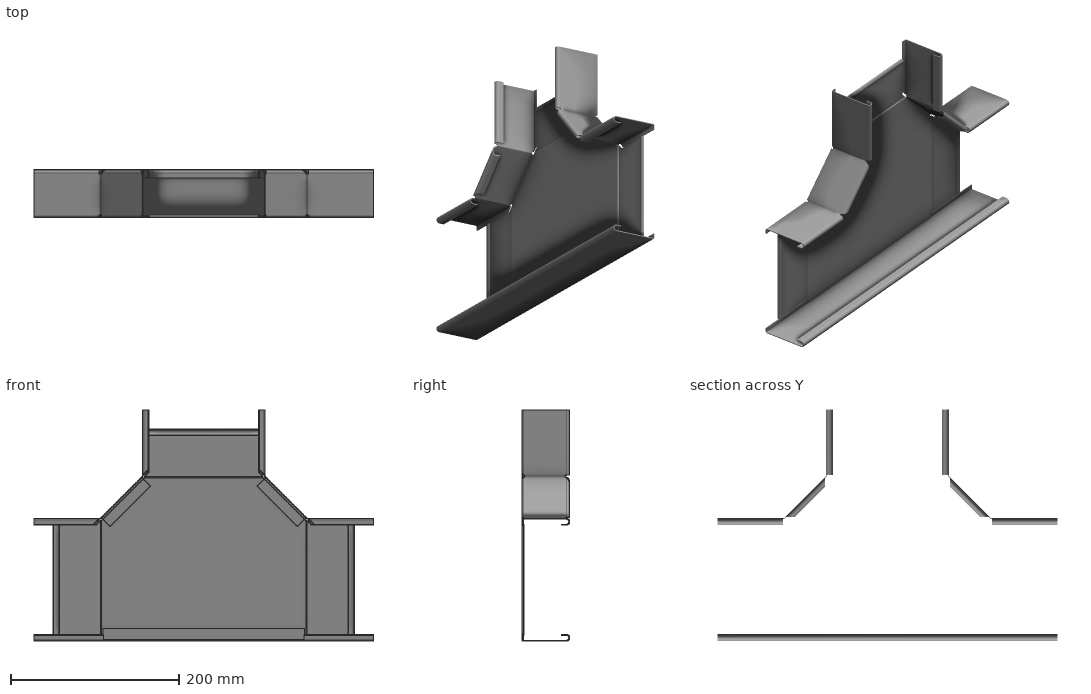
import cadquery as cq
import math


sheet = 1.0
tray_width = 146.0
rail_height = 57.0
corner_run = 50.0
total_length = 404.0
total_height = 274.99

bend_radius = 1.8
hook_radius = 4.0
hook_lip = 6.0
flange_width = 7.0
tab_width = 15.0
bottom_tab_length = 240.0

relief_radius = 1.5

gap = 0.5
joggle_run = 1.7
tongue_setback = 23.6
tongue_end_chamfer = 1.5
root_flare = 5.0
bead_width = 6.4
bead_radius = 3.8

half_length = total_length / 2
half_branch = tray_width / 2
root_x = half_branch + corner_run
root_z = tray_width + corner_run
side_arm = half_length - root_x
branch_arm = total_height - root_z
tongue_width = tray_width - 2 * (flange_width + gap)
corner_length = corner_run * math.sqrt(2)
hook_start = rail_height - hook_radius
half_bend = math.radians(45 / 2)
unit = math.sqrt(0.5)


def rail_plane(x, z, inward):
    """Section plane: local x points into the tray, local y is +Y, the normal runs along the rail."""
    along = cq.Vector(*inward).cross(cq.Vector(0, 1, 0))
    return cq.Plane(origin=(x, 0, z), xDir=inward, normal=along)


side_plane = rail_plane(-half_length, tray_width, (0, 0, -1))
corner_plane = rail_plane(-root_x, tray_width, (unit, 0, -unit))
branch_plane = rail_plane(-half_branch, root_z, (1, 0, 0))
bottom_plane = rail_plane(half_length, 0, (0, 0, 1))


def floor_flange(plane, start, length, width):
    """Bend and floor flange below the wall."""
    inner_radius = bend_radius - sheet
    outer_mid = bend_radius * (1 - unit)
    inner_mid = bend_radius - inner_radius * unit
    return (
        cq.Workplane(plane).workplane(offset=start)
        .moveTo(0, bend_radius)
        .threePointArc((outer_mid, outer_mid), (bend_radius, 0))
        .lineTo(width, 0)
        .lineTo(width, sheet)
        .lineTo(bend_radius, sheet)
        .threePointArc((inner_mid, inner_mid), (sheet, bend_radius))
        .close()
        .extrude(length)
    )


def rolled_edge(plane, start, length):
    """Half-round roll and inner lip on the open edge of the wall."""
    hook_width = 2 * hook_radius
    lip_end = hook_start - hook_lip
    return (
        cq.Workplane(plane).workplane(offset=start)
        .moveTo(0, hook_start)
        .threePointArc((hook_radius, rail_height), (hook_width, hook_start))
        .lineTo(hook_width, lip_end)
        .lineTo(hook_width - sheet, lip_end)
        .lineTo(hook_width - sheet, hook_start)
        .threePointArc((hook_radius, rail_height - sheet), (sheet, hook_start))
        .close()
        .extrude(length)
    )


def prism(points, y_start, y_end):
    """Solid with an X-Z outline between two Y levels."""
    return cq.Workplane("XZ", origin=(0, y_start, 0)).polyline(points).close().extrude(y_start - y_end)


def make_bottom_rail():
    wall = cq.Workplane(bottom_plane).moveTo(0, bend_radius).lineTo(0, hook_start)
    wall = wall.lineTo(sheet, hook_start).lineTo(sheet, bend_radius).close().extrude(total_length)
    tab_start = (total_length - bottom_tab_length) / 2
    return (
        wall
        .union(floor_flange(bottom_plane, 0, total_length, flange_width))
        .union(floor_flange(bottom_plane, tab_start, bottom_tab_length, tab_width))
        .union(rolled_edge(bottom_plane, 0, total_length))
    )


def corner_wall():
    """Wall bent 45 degrees twice: side arm, corner, branch arm."""
    shift = sheet * math.tan(half_bend)
    inner_side = (-root_x + shift, tray_width - sheet)
    inner_branch = (-half_branch + sheet, root_z - shift)
    outer_side = (-root_x, tray_width)
    outer_branch = (-half_branch, root_z)
    wall = prism(
        [
            (-half_length, tray_width), outer_side, outer_branch, (-half_branch, total_height),
            (-half_branch + sheet, total_height), inner_branch, inner_side,
            (-half_length, tray_width - sheet),
        ],
        bend_radius, hook_start,
    )
    bends = [
        (outer_side, bend_radius - sheet), (inner_side, bend_radius),
        (outer_branch, bend_radius - sheet), (inner_branch, bend_radius),
    ]
    for (x, z), radius in bends:
        edge = cq.selectors.NearestToPointSelector((x, (bend_radius + hook_start) / 2, z))
        wall = wall.edges("|Y").edges(edge).fillet(radius)
    return wall


def relief_hole(x, y, z, axis):
    plane = cq.Plane(origin=(x, y, z), xDir=(0, 1, 0), normal=axis)
    depth = 2 * sheet
    return cq.Workplane(plane).circle(relief_radius).extrude(depth, both=True)


def mitre(plane, bend, away, width):
    """Cutter that clears a 45 degree mitre beside a wall bend; away (1 or -1) is the side it clears."""
    clear = bend + away * relief_radius
    mitre_plane = cq.Plane(origin=plane.origin.toTuple(), xDir=plane.xDir.toTuple(), normal=(0, 1, 0))
    return (
        cq.Workplane(mitre_plane)
        .moveTo(0, -bend)
        .lineTo(0, -clear)
        .lineTo(width, -(clear + away * width))
        .lineTo(width, -bend)
        .close()
        .extrude(rail_height)
    )


def corner_rolled_edge():
    """Rolled edge of the corner wall, mitred at both ends."""
    edge = rolled_edge(corner_plane, 0, corner_length)
    edge = edge.cut(mitre(corner_plane, 0, 1, 2 * hook_radius))
    return edge.cut(mitre(corner_plane, corner_length, -1, 2 * hook_radius))


def make_corner_rail():
    tab_length = corner_length - 2 * relief_radius
    side_flange = floor_flange(side_plane, 0, side_arm, flange_width)
    branch_flange = floor_flange(branch_plane, 0, branch_arm, flange_width)
    rail = (
        corner_wall()
        .union(side_flange.cut(mitre(side_plane, side_arm, -1, flange_width)))
        .union(branch_flange.cut(mitre(branch_plane, 0, 1, flange_width)))
        .union(floor_flange(corner_plane, relief_radius, tab_length, tab_width))
        .union(rolled_edge(side_plane, 0, side_arm - relief_radius))
        .union(rolled_edge(branch_plane, relief_radius, branch_arm - relief_radius))
        .union(corner_rolled_edge())
    )
    side_axis = (math.sin(half_bend), 0, -math.cos(half_bend))
    branch_axis = (math.cos(half_bend), 0, -math.sin(half_bend))
    for y in (bend_radius, hook_start):
        rail = rail.cut(relief_hole(-root_x, y, tray_width, side_axis))
        rail = rail.cut(relief_hole(-half_branch, y, root_z, branch_axis))
    return rail


def make_tongue(plane, length, start_flare, end_flare):
    """Tongue that steps forward from the floor and ends in a pressed trough.

    Local x runs outward from the joggle, local y is +Y and local z spans the width;
    the flares widen the root on either side.
    """
    half_bead = bead_width / 2
    half_tongue = tongue_width / 2
    sink = math.sqrt(bead_radius**2 - half_bead**2)
    back_radius = bead_radius + sheet
    back_scale = back_radius / bead_radius
    bead_middle = length - half_bead
    back_start = bead_middle - math.sqrt(back_radius**2 - (sink + sheet) ** 2)
    tip = bead_middle + half_bead * back_scale
    low = -half_tongue - start_flare
    high = half_tongue + end_flare
    strip = (
        cq.Workplane(plane).workplane(offset=low)
        .moveTo(-joggle_run, sheet)
        .lineTo(0, 0)
        .lineTo(length - bead_width, 0)
        .threePointArc((bead_middle, bead_radius - sink), (length, 0))
        .lineTo(tip, sink * (back_scale - 1))
        .threePointArc((bead_middle, back_radius - sink), (back_start, sheet))
        .lineTo(0, sheet)
        .lineTo(-joggle_run, 2 * sheet)
        .close()
        .extrude(high - low)
    )
    chamfer_x = tip - tongue_end_chamfer
    chamfer_z = half_tongue - tongue_end_chamfer
    outline = [
        (-joggle_run, low), (0, low), (start_flare, -half_tongue),
        (chamfer_x, -half_tongue), (tip, -chamfer_z),
        (tip, chamfer_z), (chamfer_x, half_tongue),
        (end_flare, half_tongue), (0, high), (-joggle_run, high),
    ]
    outline = [point for i, point in enumerate(outline) if point != outline[i - 1]]
    face_plane = cq.Plane(origin=plane.origin.toTuple(), xDir=plane.xDir.toTuple(), normal=(0, -1, 0))
    blank = cq.Workplane(face_plane).polyline(outline).close().extrude(bead_radius, both=True)
    return strip.intersect(blank)


def make_floor_plate():
    """Floor set back behind the rail tabs, with a tongue into each arm."""
    floor_x = root_x - joggle_run
    floor_top = root_z - joggle_run
    tongue_edge = flange_width + gap
    notch_x = bottom_tab_length / 2 - gap
    shoulder_z = tray_width - tongue_edge + root_flare
    shoulder_x = tongue_width / 2 + root_flare
    left_edge = [
        (-notch_x, bend_radius), (-notch_x, tongue_edge), (-floor_x, tongue_edge),
        (-floor_x, shoulder_z), (-shoulder_x, floor_top),
    ]
    right_edge = [(-x, z) for x, z in reversed(left_edge)]
    plate = prism(left_edge + right_edge, sheet, 2 * sheet)

    side_tongue_plane = cq.Plane(origin=(-root_x, 0, tray_width / 2), xDir=(-1, 0, 0), normal=(0, 0, -1))
    branch_tongue_plane = cq.Plane(origin=(0, 0, root_z), xDir=(0, 0, 1), normal=(-1, 0, 0))
    side_tongue = make_tongue(side_tongue_plane, side_arm - tongue_setback, root_flare, 0)
    branch_tongue = make_tongue(branch_tongue_plane, branch_arm - tongue_setback, root_flare, root_flare)
    for tongue in (side_tongue, side_tongue.mirror("YZ"), branch_tongue):
        plate = plate.union(tongue)
    return plate


floor_plate = make_floor_plate()
bottom_rail = make_bottom_rail()
left_corner_rail = make_corner_rail()
corner_rails = [left_corner_rail, left_corner_rail.mirror("YZ")]

result = cq.Compound.makeCompound(
    [
        floor_plate.solids().val(),
        bottom_rail.solids().val(),
        *[rail.solids().val() for rail in corner_rails],
    ]
)